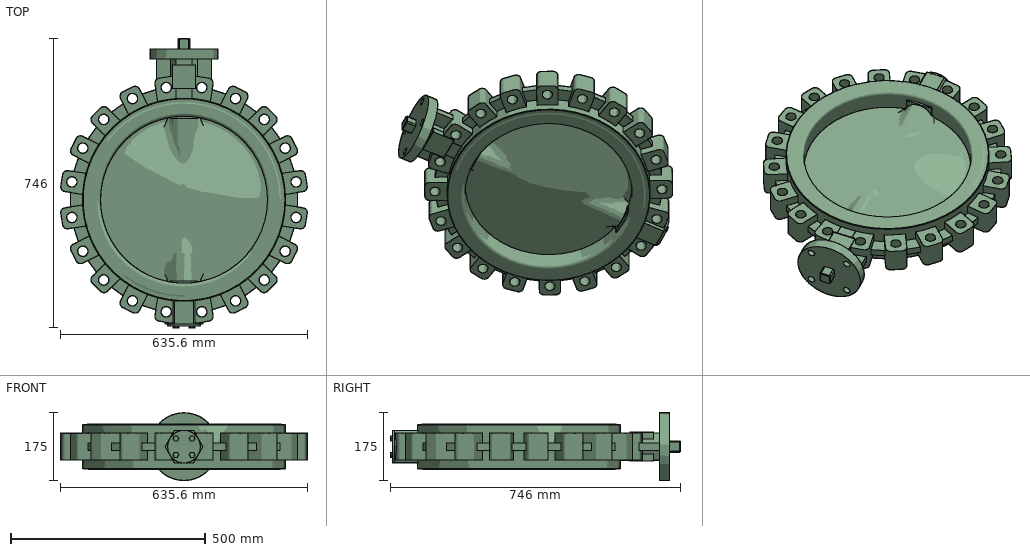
import cadquery as cq
import math


body_radius = 261.5
body_half_height = 57.5
body_chamfer = 1.5
liner_half_height = 58.5
liner_radius = 250.5
liner_face_radius = 247.0
bore_radius = 215.0
bore_lip_radius = 9.0
pad_distance = 209.0
pad_width = 70.0
pad_height = 79.0

lug_count = 20
lug_pitch = 360.0 / lug_count
bolt_circle_radius = 292.5
bolt_hole_diameter = 26.0
lug_width = 55.0
lug_outer_distance = 319.3
lug_corner_radius = 13.0
lug_height = 70.0
web_distance = 292.5
web_thickness = 20.0
ring_core_radius = 240.0

neck_across_flats = 71.0
neck_web_width = 142.0
flange_start = 362.0
flange_thickness = 26.5
flange_diameter = 175.0
flange_bolt_circle = 140.0
flange_hole_count = 4
flange_hole_diameter = 18.0
stem_end = 415.7
stem_width = 30.0
stem_corner_chamfer = 3.5
stem_end_chamfer = 2.0
label_size = 60.0
label_height = 75.0
label_centre = 316.5

boss_across_flats = 84.0
boss_end = 320.0
cover_radius = boss_across_flats / 2
cover_thickness = 6.0
screw_head_across_flats = 13.0
screw_head_height = 4.3
screw_offset = 21.0

disc_rim_half_thickness = 5.0
dome_height = 34.0
dome_foot_radius = 200.0
rim_fillet = 40.0
hub_end = 212.0
hub_end_radius = 36.3
hub_knee = 137.7
hub_knee_radius = 33.0
hub_tip = 60.0
hub_tip_radius = 22.9
hub_fillet = 28.0
disc_radius = bore_radius + 1.0


def hexagon_corner_diameter(across_flats):
    return across_flats / math.cos(math.pi / 6)


def prism_along_y(across_flats, start, end):
    """Hexagonal prism along Y with two flats facing +Z and -Z."""
    corner_diameter = hexagon_corner_diameter(across_flats)
    return (
        cq.Workplane("XZ", origin=(0, start, 0))
        .polygon(6, corner_diameter)
        .extrude(start - end)
    )


def rod_along_y(radius, start, end):
    return cq.Workplane("XZ", origin=(0, start, 0)).circle(radius).extrude(start - end)


def block(width, depth, height, centre_y):
    return cq.Workplane("XY").box(width, depth, height).translate((0, centre_y, 0))


def body_ring():
    ring = cq.Workplane("XY").circle(body_radius).extrude(body_half_height, both=True)
    ring = ring.faces("|Z").edges().chamfer(body_chamfer)
    half_liner = (
        cq.Workplane("XZ")
        .lineTo(liner_radius, 0)
        .lineTo(liner_radius, body_half_height)
        .lineTo(liner_face_radius, liner_half_height)
        .lineTo(0, liner_half_height)
        .close()
        .revolve(360, (0, 0, 0), (0, 1, 0))
    )
    return ring.union(half_liner).union(half_liner.mirror("XY"))


def lug():
    length = lug_outer_distance - ring_core_radius
    return (
        cq.Workplane("XY")
        .box(length, lug_width, lug_height)
        .translate((ring_core_radius + length / 2, 0, 0))
        .edges("|Z and >X")
        .fillet(lug_corner_radius)
    )


def lug_ring():
    corner_diameter = 2 * web_distance / math.cos(math.pi / lug_count)
    ring = (
        cq.Workplane("XY")
        .polygon(lug_count, corner_diameter)
        .extrude(web_thickness / 2, both=True)
        .rotate((0, 0, 0), (0, 0, 1), lug_pitch / 2)
    )
    single_lug = lug()
    for index in range(lug_count):
        angle = lug_pitch * (index + 0.5)
        ring = ring.union(single_lug.rotate((0, 0, 0), (0, 0, 1), angle))
    return ring


def bolt_holes():
    return (
        cq.Workplane("XY")
        .polarArray(bolt_circle_radius, lug_pitch / 2, 360, lug_count)
        .circle(bolt_hole_diameter / 2)
        .extrude(lug_height, both=True)
    )


def neck():
    neck_length = flange_start - ring_core_radius
    column = prism_along_y(neck_across_flats, ring_core_radius, flange_start)
    wings = block(neck_web_width, neck_length, web_thickness, ring_core_radius + neck_length / 2)
    label = block(label_size, label_size, label_height, label_centre)
    return column.union(wings).union(label)


def top_flange():
    flange_end = flange_start + flange_thickness
    first_hole_angle = 180 / flange_hole_count
    flange = rod_along_y(flange_diameter / 2, flange_start, flange_end)
    holes = (
        cq.Workplane("XZ", origin=(0, flange_start, 0))
        .polarArray(flange_bolt_circle / 2, first_hole_angle, 360, flange_hole_count)
        .circle(flange_hole_diameter / 2)
        .extrude(-flange_thickness)
    )
    stem_length = stem_end - flange_end
    stem = (
        block(stem_width, stem_length, stem_width, flange_end + stem_length / 2)
        .edges("|Y")
        .chamfer(stem_corner_chamfer)
        .faces(">Y")
        .chamfer(stem_end_chamfer)
    )
    return flange.cut(holes).union(stem)


def bottom_boss():
    cover_end = boss_end + cover_thickness
    boss = prism_along_y(boss_across_flats, -ring_core_radius, -boss_end)
    boss = boss.union(rod_along_y(cover_radius, -boss_end, -cover_end))
    head_corner_diameter = hexagon_corner_diameter(screw_head_across_flats)
    heads = (
        cq.Workplane("XZ", origin=(0, -cover_end, 0))
        .rect(2 * screw_offset, 2 * screw_offset, forConstruction=True)
        .vertices()
        .polygon(6, head_corner_diameter)
        .extrude(screw_head_height)
    )
    return boss.union(heads)


def bore():
    """Through bore with a rounded lip at both ends."""
    lip_start = liner_half_height - bore_lip_radius
    lip_outer = bore_radius + bore_lip_radius
    lip_diagonal = bore_lip_radius * math.sqrt(0.5)
    half_bore = (
        cq.Workplane("XZ")
        .lineTo(bore_radius, 0)
        .lineTo(bore_radius, lip_start)
        .threePointArc(
            (lip_outer - lip_diagonal, lip_start + lip_diagonal),
            (lip_outer, liner_half_height),
        )
        .lineTo(0, liner_half_height)
        .close()
        .revolve(360, (0, 0, 0), (0, 1, 0))
    )
    return half_bore.union(half_bore.mirror("XY"))


def seat_pads():
    """Flat pads on the bore wall where the stem passes through the liner."""
    depth = ring_core_radius - pad_distance
    pad = block(pad_width, depth, pad_height, pad_distance + depth / 2)
    return pad.union(pad.mirror("XZ"))


def hub():
    """Tapered stem hub along +Y, steeper past the knee so that it sinks into the dome."""
    return (
        cq.Workplane("XY")
        .moveTo(0, hub_tip)
        .lineTo(hub_tip_radius, hub_tip)
        .lineTo(hub_knee_radius, hub_knee)
        .lineTo(hub_end_radius, hub_end)
        .lineTo(0, hub_end)
        .close()
        .revolve(360, (0, 0, 0), (0, 1, 0))
    )


def rim_cove(sphere_radius, sphere_centre):
    """Ring that blends the flat rim into the dome with a concave arc tangent to both."""
    arc_height = disc_rim_half_thickness + rim_fillet
    centre_distance = sphere_radius + rim_fillet
    lean = math.acos((arc_height - sphere_centre) / centre_distance)
    arc_radius = centre_distance * math.sin(lean)
    dome_touch = (
        sphere_radius * math.sin(lean),
        sphere_centre + sphere_radius * math.cos(lean),
    )
    arc_middle = (
        arc_radius - rim_fillet * math.sin(lean / 2),
        arc_height - rim_fillet * math.cos(lean / 2),
    )
    return (
        cq.Workplane("XZ")
        .moveTo(arc_radius, 0)
        .lineTo(arc_radius, disc_rim_half_thickness)
        .threePointArc(arc_middle, dome_touch)
        .lineTo(dome_touch[0], 0)
        .close()
        .revolve(360, (0, 0, 0), (0, 1, 0))
    )


def half_disc():
    """Upper half of the disc: flat rim, spherical dome, two hubs blended into the dome."""
    rise = dome_height - disc_rim_half_thickness
    sphere_radius = (dome_foot_radius**2 + rise**2) / (2 * rise)
    sphere_centre = dome_height - sphere_radius
    dome = cq.Workplane("XY").sphere(sphere_radius).translate((0, 0, sphere_centre))
    hubs = hub().union(hub().mirror("XZ"))
    blended = dome.union(hubs).edges("%BSPLINE").fillet(hub_fillet)
    upper_space = cq.Workplane("XY").circle(disc_radius).extrude(2 * dome_height)
    rim = cq.Workplane("XY").circle(disc_radius).extrude(disc_rim_half_thickness)
    half = blended.intersect(upper_space).union(rim)
    return half.union(rim_cove(sphere_radius, sphere_centre))


def valve():
    housing = body_ring().union(lug_ring()).union(neck()).union(top_flange()).union(bottom_boss())
    housing = housing.cut(bolt_holes()).cut(bore()).union(seat_pads())
    upper_disc = half_disc()
    return housing.union(upper_disc.union(upper_disc.mirror("XY")))


result = valve()